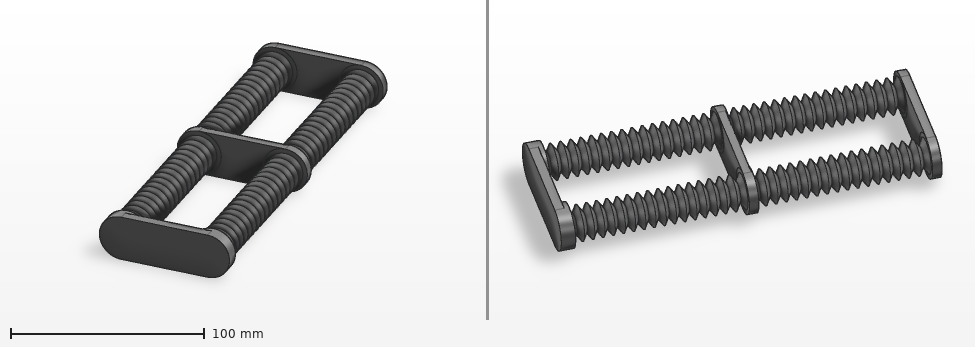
import cadquery as cq

total_length = 204.5
end_diameter = 24.8
total_width = 73.2
bellows_spacing = total_width - end_diameter

bellows_length = 93.3
folds_per_bellows = 17
fold_pitch = bellows_length / folds_per_bellows
ridge_radius = 9.8
valley_radius = 5.7

rear_thickness = 5.1
middle_thickness = 5.1
web_recess = 0.1
rear_web_thickness = rear_thickness - web_recess
middle_web_thickness = 4.5
front_web_thickness = 5.1
front_thickness = total_length - 2 * bellows_length - rear_thickness - middle_thickness

front_plate_y = -total_length / 2
front_bellows_y = front_plate_y + front_thickness
middle_plate_y = front_bellows_y + bellows_length
rear_bellows_y = middle_plate_y + middle_thickness
rear_plate_y = rear_bellows_y + bellows_length

bellows_centers = (-bellows_spacing / 2, bellows_spacing / 2)


def plate(front_y, disc_thickness, web_thickness, recess=0.0):
    """Two discs joined by a web whose -Y face lies behind the disc faces by the recess."""
    web = cq.Workplane("XY").box(
        bellows_spacing, web_thickness, end_diameter, centered=(True, False, True)
    )
    discs = (
        cq.Workplane("XZ")
        .pushPoints([(x, 0) for x in bellows_centers])
        .circle(end_diameter / 2)
        .extrude(-disc_thickness)
    )
    return web.translate((0, recess, 0)).union(discs).translate((0, front_y, 0))


def bellows(center_x, front_y):
    """A solid of revolution about Y that starts and ends on a ridge."""
    outline = [(0, 0), (0, ridge_radius)]
    for fold in range(folds_per_bellows):
        outline.append(((fold + 0.5) * fold_pitch, valley_radius))
        outline.append(((fold + 1) * fold_pitch, ridge_radius))
    outline.append((bellows_length, 0))
    solid = cq.Workplane("YZ").polyline(outline).close().revolve(360, (0, 0), (1, 0))
    return solid.translate((center_x, front_y, 0))


result = plate(front_plate_y, front_thickness, front_web_thickness)
result = result.union(plate(middle_plate_y, middle_thickness, middle_web_thickness, web_recess))
result = result.union(plate(rear_plate_y, rear_thickness, rear_web_thickness, web_recess))
for x in bellows_centers:
    for y in (front_bellows_y, rear_bellows_y):
        result = result.union(bellows(x, y))